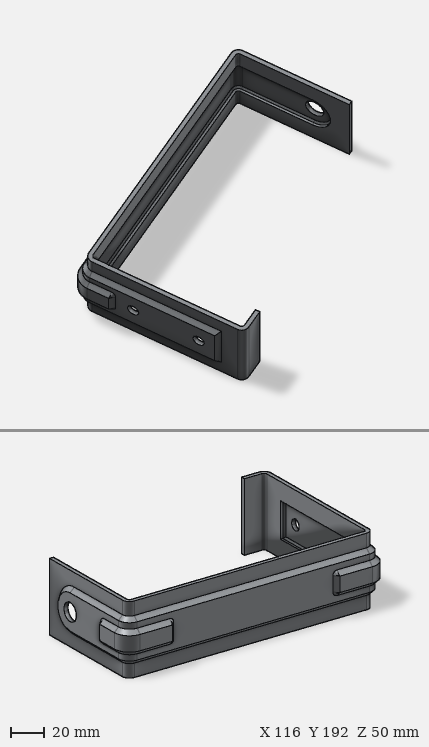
import math

import cadquery as cq

thickness = 3.0
strip_height = 50.0
half_span = 90.0
far_arm_length = 80.0
near_arm_length = 110.0
lip_length = 18.0
outer_bend_radius = 5.0
inner_bend_radius = outer_bend_radius - thickness
bend_inset = outer_bend_radius * (1 - math.sqrt(0.5))

flank_angle = 45.0
bead_height = 3.0
bead_half_width = 15.5
bead_near_end = 94.0
bead_near_centre = bead_near_end - bead_half_width
bead_far_centre = 54.5

recess_half_width = bead_half_width - thickness
recess_flank = thickness * (math.sqrt(2) - 1)
recess_wall = bead_height - recess_flank

lug_height = 3.0
lug_half_width = 8.35
lug_arm_reach = 23.0
lug_web_reach = 31.75

near_hole_diameter = 7.5
near_hole_positions = (35.0, 80.0)
far_hole_diameter = 12.5


def near_face(level):
    """Plane level outside the near arm's outer face: local x is X, local y is Z, facing -Y."""
    return cq.Workplane("XZ", origin=(0, -half_span - level, 0))


def far_face(level):
    """Plane level outside the far arm's outer face: local x is -X, local y is Z, facing +Y."""
    return cq.Workplane("XZ", origin=(0, half_span + level, 0)).transformed(rotate=(0, 180, 0))


def web_face(level):
    """Plane level outside the web's outer face: local x is -Y, local y is Z, facing -X."""
    return cq.Workplane("YZ", origin=(-level, 0, 0)).transformed(rotate=(0, 180, 0))


def band_section(x, level, height, half_width, top_half_width):
    """Cross-section of a band at X = x on the near arm, from level outward by height."""
    base_y = -half_span - level
    return (
        cq.Workplane("YZ", origin=(x, 0, 0))
        .moveTo(base_y, -half_width)
        .lineTo(base_y - height, -top_half_width)
        .lineTo(base_y - height, top_half_width)
        .lineTo(base_y, half_width)
        .close()
    )


def trace_near_corner(start_x):
    """Line along the outer face from X = start_x on the near arm, round the corner to the web."""
    return (
        cq.Workplane("XY")
        .moveTo(start_x, -half_span)
        .lineTo(outer_bend_radius, -half_span)
        .threePointArc((bend_inset, bend_inset - half_span), (0, outer_bend_radius - half_span))
    )


def trace_outer_face():
    """Line along the outer face between the middles of the bead's two ends."""
    return (
        trace_near_corner(bead_near_centre)
        .lineTo(0, half_span - outer_bend_radius)
        .threePointArc((bend_inset, half_span - bend_inset), (outer_bend_radius, half_span))
        .lineTo(bead_far_centre, half_span)
    )


def make_band(level, height, half_width, flank):
    """Band along the bead's line, narrowing outward by flank, with a square and a round end."""
    taper = flank_angle if flank else 0
    body = band_section(bead_near_centre, level, height, half_width, half_width - flank)
    square_end = near_face(level).center(bead_near_centre, 0).rect(2 * half_width, 2 * half_width)
    round_end = far_face(level).center(-bead_far_centre, 0).circle(half_width)
    return (
        body.sweep(trace_outer_face())
        .union(square_end.extrude(height, taper=taper))
        .union(round_end.extrude(height, taper=taper))
    )


def make_strip():
    """Bent strip with its lip, without bead, lugs or holes."""
    inner_span = half_span - thickness
    lip_inner_x = near_arm_length - thickness
    lip_end = lip_length - half_span
    outline = [
        (far_arm_length, half_span),
        (0, half_span),
        (0, -half_span),
        (near_arm_length, -half_span),
        (near_arm_length, lip_end),
        (lip_inner_x, lip_end),
        (lip_inner_x, -inner_span),
        (thickness, -inner_span),
        (thickness, inner_span),
        (far_arm_length, inner_span),
    ]
    strip = cq.Workplane("XY").polyline(outline).close().extrude(strip_height / 2, both=True)
    for inset, radius in ((0, outer_bend_radius), (thickness, inner_bend_radius)):
        bends = (
            (inset, half_span - inset, 0),
            (inset, inset - half_span, 0),
            (near_arm_length - inset, inset - half_span, 0),
        )
        for bend in bends:
            strip = strip.edges(cq.selectors.NearestToPointSelector(bend)).fillet(radius)
    return strip


def make_recess():
    """Hollow behind the bead: straight walls from the strip's inner face, then sloping flanks."""
    walls = make_band(-thickness, recess_wall, recess_half_width, 0)
    flanks = make_band(recess_wall - thickness, recess_flank, recess_half_width, recess_flank)
    return walls.union(flanks)


def make_lug_pad(face, start, end):
    """Straight stretch of a lug, from start to end of its base, widening below a sharp-cornered top."""
    top_length = end - start - 2 * lug_height
    return (
        face.center((start + end) / 2, 0)
        .rect(top_length, 2 * (lug_half_width - lug_height))
        .extrude(-lug_height, taper=-flank_angle)
    )


def make_near_lug():
    """Lug on the corner of the near arm and the web."""
    top = bead_height + lug_height
    arm_middle = (outer_bend_radius + lug_arm_reach) / 2
    web_middle = (outer_bend_radius + lug_web_reach) / 2
    section = band_section(arm_middle, bead_height, lug_height, lug_half_width, lug_half_width - lug_height)
    corner = section.sweep(trace_near_corner(arm_middle).lineTo(0, web_middle - half_span))
    arm_pad = make_lug_pad(near_face(top), outer_bend_radius, lug_arm_reach)
    web_pad = make_lug_pad(web_face(top), half_span - lug_web_reach, half_span - outer_bend_radius)
    return corner.union(arm_pad).union(web_pad)


def cut_holes(body):
    """Holes along Y through each arm, long enough to pass through bead and strip."""
    depth = thickness + bead_height
    near_points = [(x, 0) for x in near_hole_positions]
    near_holes = near_face(bead_height).pushPoints(near_points).circle(near_hole_diameter / 2)
    far_hole = far_face(bead_height).center(-bead_far_centre, 0).circle(far_hole_diameter / 2)
    return body.cut(near_holes.extrude(-depth)).cut(far_hole.extrude(-depth))


bead = make_band(0, bead_height, bead_half_width, bead_height)
near_lug = make_near_lug()
far_lug = near_lug.mirror("XZ")
pressed_strip = make_strip().union(bead).cut(make_recess()).union(near_lug).union(far_lug)
result = cut_holes(pressed_strip)